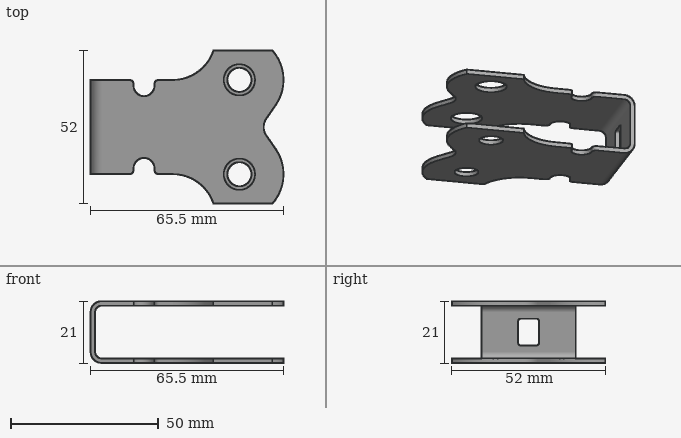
import cadquery as cq
import math

length = 65.49
height = 21.02
sheet = 1.6
bend_outer_radius = 3.8
bend_inner_radius = bend_outer_radius - sheet

neck_width = 32.0
head_width = 52.0
neck_half = neck_width / 2
head_half = head_width / 2
shoulder_start_x = 27.9
shoulder_radius = 14.5
lobe_radius = 15.0
valley_radius = 5.0
valley_bottom_x = 58.75

hole_x = length - lobe_radius
hole_y = neck_half
upper_hole_diameter = 10.6
lower_hole_diameter = 8.1

notch_x = 18.15
notch_width = 7.0
notch_depth = 5.5
notch_mouth_radius = 1.5

window_width = 7.0
window_height = 9.0
window_corner_radius = 0.8


def point_on_circle(center, radius, angle):
    return (center[0] + radius * math.cos(angle), center[1] + radius * math.sin(angle))


def mirrored(point):
    return (point[0], -point[1])


def folded_strip():
    """U-shaped sheet, as wide as the head, before its outline is cut."""
    outer = (
        cq.Workplane("XY")
        .box(length, head_width, height, centered=(False, True, True))
        .edges("|Y and <X")
        .fillet(bend_outer_radius)
    )
    inner = (
        cq.Workplane("XY")
        .box(length, head_width, height - 2 * sheet, centered=(False, True, True))
        .edges("|Y and <X")
        .fillet(bend_inner_radius)
        .translate((sheet, 0, 0))
    )
    return outer.cut(inner)


def flange_outline():
    """Full-height prism of the flange outline: neck, flared shoulders and two lobes."""
    shoulder_center = (shoulder_start_x, neck_half + shoulder_radius)
    shoulder_end_angle = -math.asin((shoulder_center[1] - head_half) / shoulder_radius)
    shoulder_start = (shoulder_start_x, neck_half)
    shoulder_mid = point_on_circle(
        shoulder_center, shoulder_radius, (shoulder_end_angle - math.pi / 2) / 2
    )
    shoulder_end = point_on_circle(shoulder_center, shoulder_radius, shoulder_end_angle)

    lobe_center = (hole_x, hole_y)
    valley_center = (valley_bottom_x + valley_radius, 0)
    center_dx = valley_center[0] - lobe_center[0]
    center_dy = valley_center[1] - lobe_center[1]
    center_distance = math.hypot(center_dx, center_dy)
    flank_angle = math.atan2(center_dy, center_dx) + math.acos(
        (lobe_radius + valley_radius) / center_distance
    )
    lobe_start_angle = math.asin((head_half - hole_y) / lobe_radius)
    lobe_start = point_on_circle(lobe_center, lobe_radius, lobe_start_angle)
    lobe_tip = (length, hole_y)
    lobe_end = point_on_circle(lobe_center, lobe_radius, flank_angle)
    valley_start = point_on_circle(valley_center, valley_radius, flank_angle + math.pi)

    return (
        cq.Workplane("XY", origin=(0, 0, -height / 2))
        .moveTo(0, neck_half)
        .lineTo(*shoulder_start)
        .threePointArc(shoulder_mid, shoulder_end)
        .lineTo(*lobe_start)
        .threePointArc(lobe_tip, lobe_end)
        .lineTo(*valley_start)
        .threePointArc((valley_bottom_x, 0), mirrored(valley_start))
        .lineTo(*mirrored(lobe_end))
        .threePointArc(mirrored(lobe_tip), mirrored(lobe_start))
        .lineTo(*mirrored(shoulder_end))
        .threePointArc(mirrored(shoulder_mid), mirrored(shoulder_start))
        .lineTo(0, -neck_half)
        .close()
        .extrude(height)
    )


def notch():
    """Cutter for the +Y neck edge: round-bottomed slot with a rounded mouth."""
    radius = notch_width / 2
    bottom_y = neck_half - notch_depth
    left_x = notch_x - radius
    right_x = notch_x + radius
    mouth_y = neck_half - notch_mouth_radius
    mouth_offset = notch_mouth_radius * (1 - math.sqrt(0.5))
    return (
        cq.Workplane("XY", origin=(0, 0, -height / 2))
        .moveTo(left_x - notch_mouth_radius, neck_half)
        .threePointArc((left_x - mouth_offset, neck_half - mouth_offset), (left_x, mouth_y))
        .lineTo(left_x, bottom_y + radius)
        .threePointArc((notch_x, bottom_y), (right_x, bottom_y + radius))
        .lineTo(right_x, mouth_y)
        .threePointArc(
            (right_x + mouth_offset, neck_half - mouth_offset),
            (right_x + notch_mouth_radius, neck_half),
        )
        .close()
        .extrude(height)
    )


def flange_holes(diameter, bottom_z):
    """Pair of cutters through the flange whose underside is at bottom_z."""
    return (
        cq.Workplane("XY", origin=(0, 0, bottom_z))
        .pushPoints([(hole_x, hole_y), (hole_x, -hole_y)])
        .circle(diameter / 2)
        .extrude(sheet)
    )


def web_window():
    """Cutter for the rounded rectangular window in the middle of the web."""
    return (
        cq.Workplane("XY")
        .box(sheet, window_width, window_height, centered=(False, True, True))
        .edges("|X")
        .fillet(window_corner_radius)
    )


result = folded_strip().intersect(flange_outline())
result = result.cut(notch()).cut(notch().mirror("XZ"))
result = result.cut(flange_holes(upper_hole_diameter, height / 2 - sheet))
result = result.cut(flange_holes(lower_hole_diameter, -height / 2))
result = result.cut(web_window())